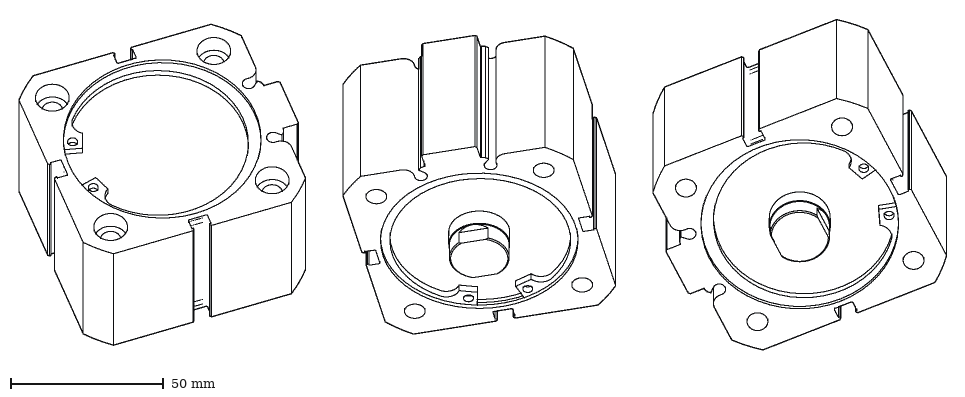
import cadquery as cq
import math


BODY_WIDTH = 77.5
BODY_HEIGHT = 50.05
CORNER_RADIUS = 49.6
HALF_WIDTH = BODY_WIDTH / 2

RAIL_TOP = 44.2
RAIL_HALF_WIDTH = 9.3
RAIL_EDGE_CHAMFER = 0.6
RAIL_ROOT_Y = 38.9
HOOK_TIP_X = 11.8
HOOK_TIP_Y = 37.4
HOOK_BEVEL = 0.9
BULB_X = 11.7
BULB_Y = 34.4
BULB_RADIUS = 2.1
BULB_END_ANGLE = 50
SHOULDER_RADIUS = 3.65

SLOT_DEPTH = 4.65
SLOT_WIDTH = 6.6
SLOT_MOUTH_WIDTH = 5.5
SLOT_LIP = 1.0
SLOT_LIP_CHAMFER = 0.5
SLOT_FLOOR_FILLET = 0.4
SLOT_FLOOR = HALF_WIDTH - SLOT_DEPTH

HOLE_PITCH = 56.3
HOLE_DIAMETER = 6.8
COUNTERBORE_DIAMETER = 11.0
COUNTERBORE_DEPTH = 7.0

BORE_RADIUS = 32.4
GROOVE_WALL = 0.29
GROOVE_RADIUS = SLOT_FLOOR - GROOVE_WALL
RING_INSET = 1.5
RING_THICKNESS = 2.5
UPPER_RING_Z = BODY_HEIGHT - RING_INSET - RING_THICKNESS
LOWER_RING_Z = RING_INSET

RING_INNER_RADIUS = 29.6
RING_INNER_Y = -1.5
RELIEF_START_X = 18.4
RELIEF_MID = (15.4, -25.4)
EAR_INNER_CORNER = (12.1, -23.3)
EAR_GAP_CORNER = (6.4, -25.5)
EAR_HOLE = (10.0, -27.6)
EAR_HOLE_DIAMETER = 3.2

COVER_THICKNESS = 10.0
HEAD_COVER_Z = UPPER_RING_Z - COVER_THICKNESS
ROD_COVER_Z = LOWER_RING_Z + RING_THICKNESS
ROD_DIAMETER = 20.0
ROD_REACH = 8.0
ROD_COLLAR = 1.75
NECK_DIAMETER = 19.6
COLLAR_CHAMFER = (ROD_DIAMETER - NECK_DIAMETER) / 2
ROD_END_CHAMFER = 0.4
FLAT_HALF_WIDTH = 8.5
FLAT_RUNOUT = ROD_DIAMETER / 2 - FLAT_HALF_WIDTH


def block():
    """Square block with turned corners."""
    square = cq.Workplane("XY").rect(BODY_WIDTH, BODY_WIDTH).extrude(BODY_HEIGHT)
    return square.intersect(cq.Workplane("XY").circle(CORNER_RADIUS).extrude(BODY_HEIGHT))


def rail():
    """Raised part of the port rail, with chamfered outer edges."""
    height = RAIL_TOP - BULB_Y
    bar = (
        cq.Workplane("XY")
        .center(0, BULB_Y + height / 2)
        .rect(2 * RAIL_HALF_WIDTH, height)
        .extrude(BODY_HEIGHT)
    )
    return bar.edges("|Z and >Y").chamfer(RAIL_EDGE_CHAMFER)


def rail_channel():
    """Undercut channel beside the rail on the +X side."""
    outer_x = BULB_X + BULB_RADIUS
    shoulder_y = HALF_WIDTH - SHOULDER_RADIUS
    end_angle = math.radians(180 - BULB_END_ANGLE)
    bulb_end = (
        BULB_X + BULB_RADIUS * math.cos(end_angle),
        BULB_Y + BULB_RADIUS * math.sin(end_angle),
    )
    diagonal = SHOULDER_RADIUS * (1 - math.sqrt(0.5))
    return (
        cq.Workplane("XY")
        .moveTo(RAIL_HALF_WIDTH, RAIL_ROOT_Y)
        .lineTo(HOOK_TIP_X - HOOK_BEVEL, HOOK_TIP_Y + HOOK_BEVEL)
        .lineTo(HOOK_TIP_X, HOOK_TIP_Y)
        .lineTo(*bulb_end)
        .threePointArc((BULB_X, BULB_Y - BULB_RADIUS), (outer_x, BULB_Y))
        .lineTo(outer_x, shoulder_y)
        .threePointArc(
            (outer_x + diagonal, HALF_WIDTH - diagonal),
            (outer_x + SHOULDER_RADIUS, HALF_WIDTH),
        )
        .lineTo(outer_x + SHOULDER_RADIUS, RAIL_ROOT_Y)
        .close()
        .extrude(BODY_HEIGHT)
    )


def slot():
    """Lipped slot cut into the -Y side, through the whole height."""
    lip_y = SLOT_LIP - HALF_WIDTH
    half_mouth = SLOT_MOUTH_WIDTH / 2
    half_flare = half_mouth + SLOT_LIP_CHAMFER
    flare_y = SLOT_LIP_CHAMFER - HALF_WIDTH
    chamber = (
        cq.Workplane("XY")
        .rect(SLOT_WIDTH, SLOT_DEPTH - SLOT_LIP)
        .extrude(BODY_HEIGHT)
        .edges("|Z and >Y")
        .fillet(SLOT_FLOOR_FILLET)
        .translate((0, (lip_y - SLOT_FLOOR) / 2, 0))
    )
    mouth = (
        cq.Workplane("XY")
        .moveTo(-half_mouth, lip_y)
        .lineTo(-half_mouth, flare_y)
        .lineTo(-half_flare, -HALF_WIDTH)
        .lineTo(half_flare, -HALF_WIDTH)
        .lineTo(half_mouth, flare_y)
        .lineTo(half_mouth, lip_y)
        .close()
        .extrude(BODY_HEIGHT)
    )
    return chamber.union(mouth)


def disc(radius, bottom, thickness):
    return cq.Workplane("XY").workplane(offset=bottom).circle(radius).extrude(thickness)


def make_housing():
    body = block().union(rail())
    channel = rail_channel()
    body = body.cut(channel).cut(channel.mirror("YZ"))
    for angle in (-90, 0, 90):
        body = body.cut(slot().rotate((0, 0, 0), (0, 0, 1), angle))
    body = (
        body.faces(">Z")
        .workplane(origin=(0, 0, BODY_HEIGHT))
        .rect(HOLE_PITCH, HOLE_PITCH, forConstruction=True)
        .vertices()
        .cboreHole(HOLE_DIAMETER, COUNTERBORE_DIAMETER, COUNTERBORE_DEPTH)
    )
    body = body.cut(disc(BORE_RADIUS, 0, BODY_HEIGHT))
    for bottom in (LOWER_RING_Z, UPPER_RING_Z):
        body = body.cut(disc(GROOVE_RADIUS, bottom, RING_THICKNESS))
    return body


def make_retaining_ring(bottom):
    """Open ring filling its groove, with the gap between the ears on the -Y side."""
    relief_y = RING_INNER_Y - math.sqrt(RING_INNER_RADIUS**2 - RELIEF_START_X**2)
    gap_x, gap_y = EAR_GAP_CORNER
    gap_scale = GROOVE_RADIUS / math.hypot(gap_x, gap_y)
    gap_end = (gap_x * gap_scale, gap_y * gap_scale)
    mid_x, mid_y = RELIEF_MID
    corner_x, corner_y = EAR_INNER_CORNER
    hole_x, hole_y = EAR_HOLE
    ring = (
        cq.Workplane("XY")
        .workplane(offset=bottom)
        .moveTo(*gap_end)
        .threePointArc((0, GROOVE_RADIUS), (-gap_end[0], gap_end[1]))
        .lineTo(-gap_x, gap_y)
        .lineTo(-corner_x, corner_y)
        .threePointArc((-mid_x, mid_y), (-RELIEF_START_X, relief_y))
        .threePointArc((0, RING_INNER_Y + RING_INNER_RADIUS), (RELIEF_START_X, relief_y))
        .threePointArc((mid_x, mid_y), (corner_x, corner_y))
        .lineTo(gap_x, gap_y)
        .close()
        .extrude(RING_THICKNESS)
    )
    ear_holes = (
        cq.Workplane("XY")
        .workplane(offset=bottom)
        .pushPoints([(-hole_x, hole_y), (hole_x, hole_y)])
        .circle(EAR_HOLE_DIAMETER / 2)
        .extrude(RING_THICKNESS)
    )
    return ring.cut(ear_holes)


def make_head_cover():
    return disc(BORE_RADIUS, HEAD_COVER_Z, COVER_THICKNESS)


def make_rod_cover():
    cover = disc(BORE_RADIUS, ROD_COVER_Z, COVER_THICKNESS)
    return cover.cut(disc(ROD_DIAMETER / 2, ROD_COVER_Z, COVER_THICKNESS))


def wrench_flat():
    """Material removed for the +Y wrench flat, including its sloping run-out."""
    outside = ROD_DIAMETER
    start_z = COLLAR_CHAMFER - ROD_COLLAR
    flat_z = start_z - FLAT_RUNOUT
    return (
        cq.Workplane("YZ")
        .moveTo(ROD_DIAMETER / 2, start_z)
        .lineTo(FLAT_HALF_WIDTH, flat_z)
        .lineTo(FLAT_HALF_WIDTH, -ROD_REACH)
        .lineTo(outside, -ROD_REACH)
        .lineTo(outside, start_z)
        .close()
        .extrude(ROD_DIAMETER / 2, both=True)
    )


def make_rod():
    """Rod from the head cover out through the rod cover, with a flatted neck at its end."""
    shaft = disc(ROD_DIAMETER / 2, -ROD_COLLAR, HEAD_COVER_Z + ROD_COLLAR)
    shaft = shaft.faces("<Z").chamfer(COLLAR_CHAMFER)
    neck = disc(NECK_DIAMETER / 2, -ROD_REACH, ROD_REACH - ROD_COLLAR)
    rod = shaft.union(neck.faces("<Z").chamfer(ROD_END_CHAMFER))
    flat = wrench_flat()
    return rod.cut(flat).cut(flat.mirror("XZ"))


housing = make_housing()
head_cover = make_head_cover()
rod_cover = make_rod_cover()
rod = make_rod()
retaining_rings = [make_retaining_ring(bottom) for bottom in (LOWER_RING_Z, UPPER_RING_Z)]

result = cq.Compound.makeCompound(
    [
        housing.val(),
        head_cover.val(),
        rod_cover.val(),
        rod.val(),
        *[ring.val() for ring in retaining_rings],
    ]
)